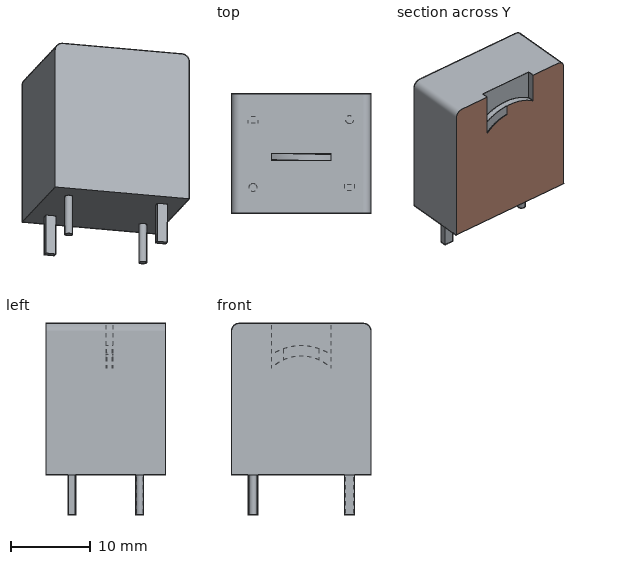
import cadquery as cq

body_length = 17.5
body_width = 15.0
body_height = 19.0
top_edge_radius = 1.0

wire_thickness = 1.3
wire_width = 0.8
winding_radius = 6.05
winding_tilt = 1.3
winding_axis_z = body_height / 2

pin_length = 5.0
pin_offset_x = winding_radius
pin_offset_y = 4.25
round_pin_diameter = 1.0

slot_length = 7.45
slot_width = 0.9
slot_y = -0.45


def make_body():
    """Block standing on Z = 0 with its two top edges along Y rounded."""
    block = cq.Workplane("XY").box(body_length, body_width, body_height, centered=(True, True, False))
    return block.faces(">Z").edges("|Y").fillet(top_edge_radius)


def make_disc(radius, width):
    """Disc around the winding axis, centred on the slot."""
    plane = cq.Workplane("XZ", origin=(0, slot_y, winding_axis_z))
    return plane.circle(radius).extrude(width / 2, both=True)


def make_slot():
    """Slot cutter: it follows the inside of the winding and leaves the exposed turn standing."""
    inner_radius = winding_radius - wire_thickness / 2
    outer_radius = winding_radius + wire_thickness / 2
    cutter = (
        cq.Workplane("XY", origin=(0, slot_y, winding_axis_z))
        .box(slot_length, slot_width, body_height - winding_axis_z, centered=(True, True, False))
        .cut(make_disc(inner_radius, slot_width))
    )
    turn = make_disc(outer_radius, wire_width).rotate((0, slot_y, 0), (0, slot_y, 1), -winding_tilt)
    return cutter.cut(turn)


def make_pins():
    """Round pins on one diagonal of the underside, flat pins on the other."""
    underside = cq.Workplane("XY")
    round_pins = (
        underside.pushPoints([(-pin_offset_x, -pin_offset_y), (pin_offset_x, pin_offset_y)])
        .circle(round_pin_diameter / 2)
        .extrude(-pin_length)
    )
    flat_pins = (
        underside.pushPoints([(-pin_offset_x, pin_offset_y), (pin_offset_x, -pin_offset_y)])
        .rect(wire_thickness, wire_width)
        .extrude(-pin_length)
    )
    return round_pins.union(flat_pins)


result = make_body().cut(make_slot()).union(make_pins())